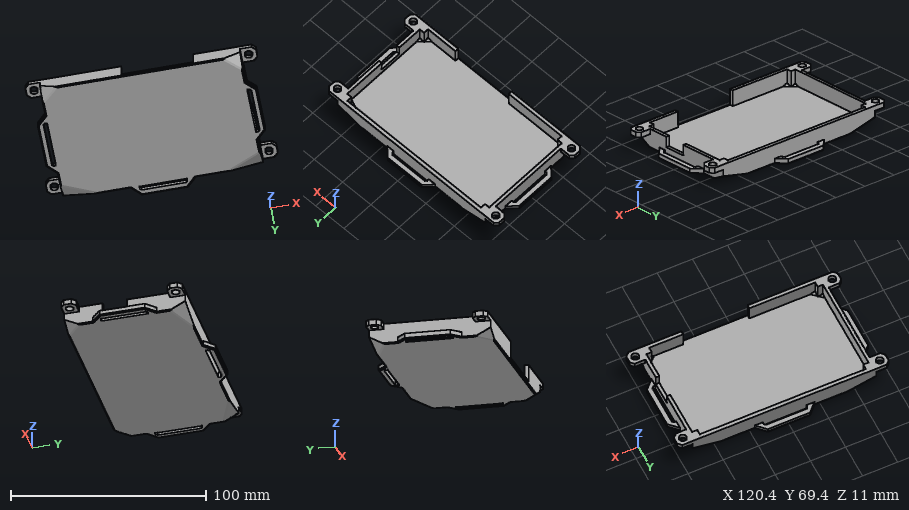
import cadquery as cq

length = 104.4
width = 64.4
height = 11.0
floor = 2.0
end_wall = 2.0
side_wall = 2.2
bottom_chamfer = 0.6

pocket_length = length - 2 * end_wall
pocket_width = width - 2 * side_wall
corner_post = 3.0

outer_front_slope = (9.0, 8.2, 4.4)
outer_rear_slope = (19.0, 8.2, 4.4)
inner_front_slope = (5.8, 5.2, 2.7)
inner_rear_slope = (14.2, 6.2, 3.4)

ear_reach = 8.0
ear_width = 8.0
ear_thickness = 3.0
ear_chamfer = 2.0
hole_diameter = 4.0
hole_x = 56.0
hole_y = 28.2

loop_reach = 5.0
loop_thickness = 3.0
loop_base = 34.0
loop_tip = loop_base - 2 * loop_reach
slot_length = 24.8
slot_gap = 2.0
slot_chamfer = 0.8

front_gap_width = 37.6
front_gap_center = 9.0
end_notch_width = 13.0
end_notch_center = -5.3
end_notch_depth = 6.0

CORNERS = [(sx, sy) for sx in (-1, 1) for sy in (-1, 1)]
LOOPS = [(width / 2, 0), (length / 2, 90), (length / 2, -90)]


def block(size_x, size_y, z_bottom, z_top, x=0.0, y=0.0):
    """Box centered on (x, y) between two heights."""
    box = cq.Workplane("XY").box(size_x, size_y, z_top - z_bottom, centered=(True, True, False))
    return box.translate((x, y, z_bottom))


def corner_wedge(corner_x, corner_y, z, side_x, side_y, slope):
    """Tetrahedron standing in a corner, its sloped face falling toward the center."""
    leg_x, leg_y, rise = slope
    corner = cq.Vector(corner_x, corner_y, z)
    along_x = corner - cq.Vector(side_x * leg_x, 0, 0)
    along_y = corner - cq.Vector(0, side_y * leg_y, 0)
    peak = corner + cq.Vector(0, 0, rise)
    triangles = [
        (corner, along_x, along_y),
        (corner, along_x, peak),
        (corner, along_y, peak),
        (along_x, along_y, peak),
    ]
    faces = [cq.Face.makeFromWires(cq.Wire.makePolygon(list(t), close=True)) for t in triangles]
    solid = cq.Solid.makeSolid(cq.Shell.makeShell(faces))
    return cq.Workplane(obj=solid)


def loop_plate(wall, angle):
    """Trapezoidal plate rooted inside the wall, before its slot is cut."""
    root = wall - end_wall
    tip = wall + loop_reach
    outline = [
        (-loop_base / 2, root),
        (-loop_base / 2, wall),
        (-loop_tip / 2, tip),
        (loop_tip / 2, tip),
        (loop_base / 2, wall),
        (loop_base / 2, root),
    ]
    plate = cq.Workplane("XY").polyline(outline).close().extrude(loop_thickness)
    return plate.rotate((0, 0, 0), (0, 0, 1), angle)


def loop_slot(wall, angle):
    """Strap slot against the wall, its two outer corners chamfered."""
    slot = block(slot_length, slot_gap, 0, loop_thickness, y=wall + slot_gap / 2)
    slot = slot.edges("|Z and >Y").chamfer(slot_chamfer)
    return slot.rotate((0, 0, 0), (0, 0, 1), angle)


def make_shell():
    """Solid body with loops, a chamfered bottom rim and sloped outer corners."""
    shell = block(length, width, 0, height)
    for wall, angle in LOOPS:
        shell = shell.union(loop_plate(wall, angle))
    for sx, sy in CORNERS:
        slope = outer_front_slope if sy < 0 else outer_rear_slope
        shell = shell.cut(corner_wedge(sx * length / 2, sy * width / 2, 0, sx, sy, slope))
    shell = shell.faces("<Z").edges().chamfer(bottom_chamfer)
    for wall, angle in LOOPS:
        shell = shell.cut(loop_slot(wall, angle))
    return shell


def make_pocket():
    """Pocket volume, reduced by the square corner posts and the sloped corner fills."""
    pocket = block(pocket_length, pocket_width, floor, height)
    for sx, sy in CORNERS:
        corner_x = sx * pocket_length / 2
        corner_y = sy * pocket_width / 2
        post_x = corner_x - sx * corner_post / 2
        post_y = corner_y - sy * corner_post / 2
        slope = inner_front_slope if sy < 0 else inner_rear_slope
        pocket = pocket.cut(block(corner_post, corner_post, floor, height, post_x, post_y))
        pocket = pocket.cut(corner_wedge(corner_x, corner_y, floor, sx, sy, slope))
    return pocket


def make_ear(sx, sy):
    """Ear flush with the rim, its two free corners chamfered."""
    ear_x = sx * (length + ear_reach) / 2
    ear_y = sy * (width - ear_width) / 2
    ear = block(ear_reach, ear_width, height - ear_thickness, height, ear_x, ear_y)
    free_end = ">X" if sx > 0 else "<X"
    return ear.edges("|Z and " + free_end).chamfer(ear_chamfer)


def cut_openings(tray):
    """Wide gap in the front wall down to the floor, and a notch in the +X wall."""
    gap_y = -(width - side_wall) / 2
    notch_x = (length - end_wall) / 2
    tray = tray.cut(block(front_gap_width, side_wall, floor, height, front_gap_center, gap_y))
    notch_bottom = height - end_notch_depth
    return tray.cut(block(end_wall, end_notch_width, notch_bottom, height, notch_x, end_notch_center))


tray = make_shell().cut(make_pocket())
for sx, sy in CORNERS:
    tray = tray.union(make_ear(sx, sy))
tray = cut_openings(tray)
holes = cq.Workplane("XY").rect(2 * hole_x, 2 * hole_y, forConstruction=True).vertices()
result = tray.cut(holes.circle(hole_diameter / 2).extrude(height))